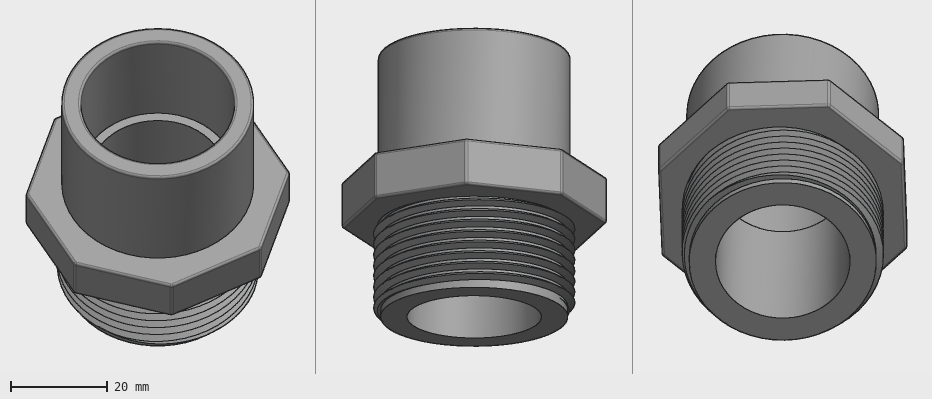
import cadquery as cq
import math

total_height = 56.8

collar_sides = 8
collar_across_flats = 51.0
collar_bottom = 20.0
collar_thickness = 10.0
collar_top = collar_bottom + collar_thickness
collar_corner_radius = 0.9
collar_rim_radius = 0.5

spigot_diameter = 40.0
socket_diameter = 32.0
socket_floor = 33.3
spigot_edge_radius = 0.5

bore_diameter = 28.0

thread_major_diameter = 41.9
thread_root_diameter = 38.95
thread_start = 1.55
thread_turns = 8
thread_angle = 60.0
thread_length = collar_bottom - thread_start
thread_pitch = thread_length / thread_turns
thread_overlap = 0.1

collar_embed = 0.55


def make_collar():
    """Octagonal prism with rounded corners and rims, flats square to X and Y."""
    across_corners = collar_across_flats / math.cos(math.pi / collar_sides)
    return (
        cq.Workplane("XY", origin=(0, 0, collar_bottom))
        .transformed(rotate=(0, 0, 180 / collar_sides))
        .polygon(collar_sides, across_corners)
        .extrude(collar_thickness)
        .edges("|Z")
        .fillet(collar_corner_radius)
        .faces("<Z or >Z")
        .edges()
        .fillet(collar_rim_radius)
    )


def make_cylinder(diameter, bottom, top):
    """Cylinder on the Z axis between two heights."""
    return (
        cq.Workplane("XY", origin=(0, 0, bottom))
        .circle(diameter / 2)
        .extrude(top - bottom)
    )


def make_thread():
    """Right-handed V ridge whose crest starts on +X, cut flat at both ends."""
    root_radius = thread_root_diameter / 2 - thread_overlap
    crest_radius = thread_major_diameter / 2
    half_width = (crest_radius - root_radius) * math.tan(math.radians(thread_angle / 2))

    helix_bottom = thread_start - thread_pitch
    helix_height = thread_length + 2 * thread_pitch
    helix = cq.Wire.makeHelix(
        thread_pitch, helix_height, root_radius, center=cq.Vector(0, 0, helix_bottom)
    )
    ridge = (
        cq.Workplane("XZ")
        .moveTo(root_radius, helix_bottom - half_width)
        .lineTo(crest_radius, helix_bottom)
        .lineTo(root_radius, helix_bottom + half_width)
        .close()
        .sweep(cq.Workplane(obj=helix), isFrenet=True)
    )
    trim_diameter = collar_across_flats
    trim = make_cylinder(trim_diameter, thread_start, collar_bottom + collar_embed)
    return ridge.intersect(trim)


spigot = make_cylinder(spigot_diameter, collar_top - collar_embed, total_height)
core = make_cylinder(thread_root_diameter, 0, collar_bottom + collar_embed)
body = core.union(make_thread()).union(make_collar()).union(spigot)

body = body.cut(make_cylinder(bore_diameter, 0, total_height))
body = body.cut(make_cylinder(socket_diameter, socket_floor, total_height))

result = body.faces(">Z").edges().fillet(spigot_edge_radius)